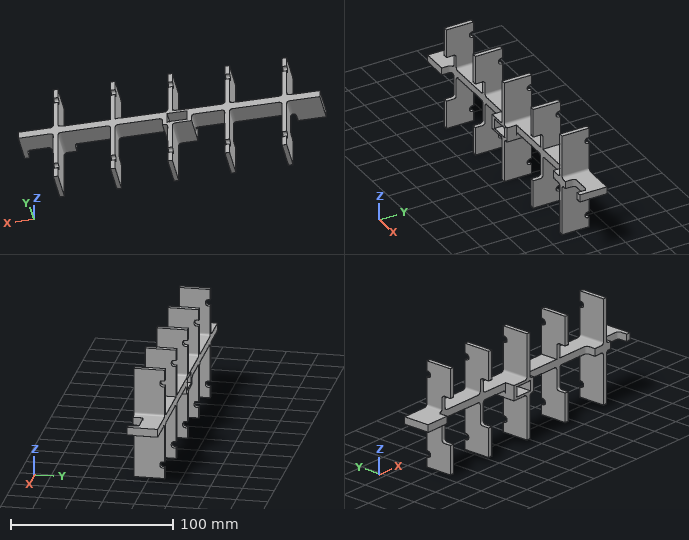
import cadquery as cq

length = 190.0
depth = 19.4
height = 71.5

bar_top = 5.0
bar_thickness = 5.1
bar_bottom = bar_top - bar_thickness

fin_count = 5
first_fin_x = 22.5
last_fin_x = 166.5
fin_pitch = (last_fin_x - first_fin_x) / (fin_count - 1)
fin_thickness = 3.0
fin_x = [first_fin_x + i * fin_pitch for i in range(fin_count)]
relieved_fins = [fin_x[0], fin_x[1], fin_x[3]]
square_top_fin = fin_x[3]

tube_left = 80.8
tube_width = 18.5
tube_right = tube_left + tube_width
tube_height = 2 * bar_thickness
tube_bottom = bar_top - tube_height
window_width = 12.5
window_height = 6.8

relief_depth = 6.8
fin_tab = 20.0
foot_end = 17.9
block_left = 157.0
block_right = 172.0
end_lug = 3.2

notch_width = 4.0
notch_depth = 3.0
notch_from_tip = 9.0

corner_radius = 1.9


def block(x_min, x_max, y_min, y_max, z_min, z_max):
    """Box given by its limits along each axis."""
    size = (x_max - x_min, y_max - y_min, z_max - z_min)
    return cq.Workplane("XY").box(*size, centered=False).translate((x_min, y_min, z_min))


def add_root_fillets(body):
    """Round the inside corners where fins meet the bar or tube, and where the tube meets the bar."""
    corners = [(tube_left, bar_bottom), (tube_right, bar_bottom)]
    for x in fin_x:
        under_tube = tube_left < x < tube_right
        root_bottom = tube_bottom if under_tube else bar_bottom
        for side in (x - fin_thickness / 2, x + fin_thickness / 2):
            corners.append((side, root_bottom))
            if x != square_top_fin:
                corners.append((side, bar_top))
    edges = cq.Workplane("XY")
    for x, z in corners:
        edges = edges.add(body.edges(cq.NearestToPointSelector((x, depth / 2, z))).vals())
    return body.newObject(edges.vals()).fillet(corner_radius)


def bar_relief(x_min, x_max, rounded_corners):
    """Pocket in the front of the bar; rounded_corners selects which inner corners are round."""
    root_room = corner_radius
    pocket = block(x_min, x_max, 0, relief_depth, bar_bottom - root_room, bar_top + root_room)
    return pocket.edges(rounded_corners).fillet(corner_radius)


def fin_relief(x):
    """Pocket in the front of a fin, leaving a full-depth tab at each tip."""
    reach = height / 2 - fin_tab
    half = fin_thickness / 2
    pocket = block(x - half, x + half, 0, relief_depth, -reach, reach)
    return pocket.edges("|X and >Y").fillet(corner_radius)


def back_notches(z):
    """Round-ended slot through the back edge of all fins at height z."""
    radius = notch_width / 2
    centre_y = depth - notch_depth + radius
    straight = block(0, length, centre_y, depth, z - radius, z + radius)
    end = cq.Workplane("YZ").center(centre_y, z).circle(radius).extrude(length)
    return straight.union(end)


body = block(0, length, 0, depth, bar_bottom, bar_top)
body = body.union(block(tube_left, tube_right, 0, depth, tube_bottom, bar_top))
for x in fin_x:
    half = fin_thickness / 2
    body = body.union(block(x - half, x + half, 0, depth, -height / 2, height / 2))
body = add_root_fillets(body)

window_x = (tube_left + tube_right) / 2
window_z = (tube_bottom + bar_top) / 2
body = body.cut(
    block(
        window_x - window_width / 2, window_x + window_width / 2,
        0, depth,
        window_z - window_height / 2, window_z + window_height / 2,
    )
)

body = body.cut(bar_relief(foot_end, tube_left, "|Z and >Y and <X"))
body = body.cut(bar_relief(tube_right, block_left, "|Z and >Y and >X"))
body = body.cut(bar_relief(block_right, length - end_lug, "|Z and >Y"))
for x in relieved_fins:
    body = body.cut(fin_relief(x))

for z in (height / 2 - notch_from_tip, notch_from_tip - height / 2):
    body = body.cut(back_notches(z))

result = body